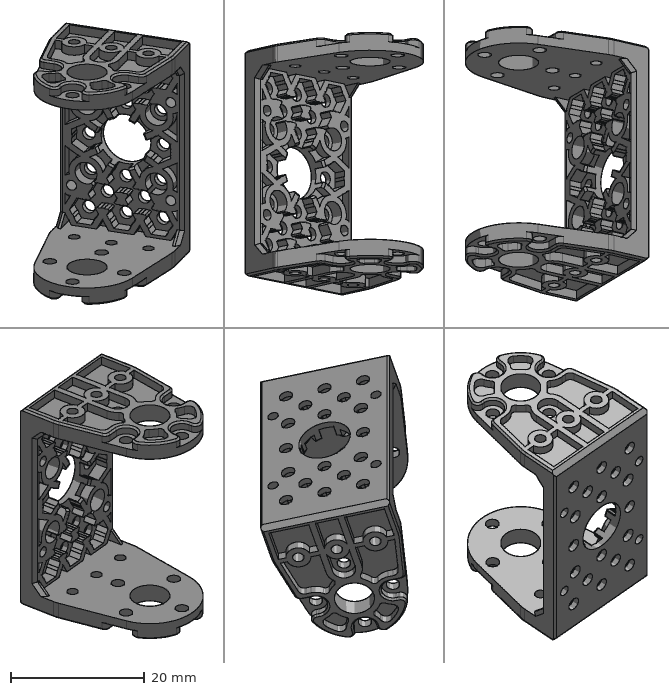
import cadquery as cq
import math


width = 20.0
height = 34.6
hub_radius = 8.0
depth = 25.0
back_y = depth - hub_radius
wall_thickness = 3.0
wall_front_y = back_y - wall_thickness
arm_thickness = 2.8
arm_inner_z = height / 2 - arm_thickness
rib = 1.0

arm_pocket_depth = 1.4
arm_floor_z = height / 2 - arm_pocket_depth
taper_start_y = 10.15
taper_blend_radius = 5.0
hub_bore = 6.0
hub_wall_radius = hub_bore / 2 + rib
bolt_circle_radius = 6.0
bolt_hole = 2.0
bite_half_width = 1.75
bite_corner_radius = 1.0
slot_half_width = 1.75
pocket_corner_radius = 0.62
pocket_rim_corner_radius = 1.0
screw_row_y = 10.0
screw_hole = 1.7
screw_boss_radius = 1.87
cross_rib = 0.8
back_margin = 1.25

outer_bolt_points = [(-bolt_circle_radius, 0), (bolt_circle_radius, 0), (0, -bolt_circle_radius)]
bolt_points = outer_bolt_points + [(0, bolt_circle_radius)]
screw_points = [(x, screw_row_y) for x in (-bolt_circle_radius, 0, bolt_circle_radius)]

rim_chamfer = 0.3
back_chamfer = 0.8
inner_edge_chamfer = 0.6
gusset_leg = 1.9

step = bolt_circle_radius / 2
wall_pocket_depth = 2.0
recess_depth = 1.5
hex_flats = 4.0
window_half_width = width / 2 - rib
channel_width = 1.6
bolt_channel_width = 0.6
counterbore = 3.5
counterbore_hole = 2.08
counterbore_offset = hub_radius * math.sqrt(0.5)
edge_hole = 1.6
edge_hole_offset = hub_radius
edge_pad_radius = edge_hole / 2 + rib
wall_bore = 8.0
wall_bore_chamfer = 0.35
nub_width = 0.52
nub_height = 0.07

top_hexes = [
    (-2, 4, (30, 150, 270)),
    (0, 4, (30, 150, 270)),
    (2, 4, (30, 150, 270)),
    (-1, 3, (90, 270)),
    (1, 3, (90, 270)),
    (0, 2, (90, 210, 330)),
]
side_hexes = [
    (-2, 0, (60, 180, 300)),
    (2, 0, (0, 120, 240)),
]
bottom_hexes = [(col, -row, tuple(-a for a in nubs)) for col, row, nubs in top_hexes]
all_hexes = top_hexes + side_hexes + bottom_hexes

select_margin = 0.17


def corners(offset):
    """The four points (+-offset, +-offset)."""
    return [(sx * offset, sz * offset) for sx in (-1, 1) for sz in (-1, 1)]


def arm_outline(inset, z, thickness):
    """Arm plan shape: square back, tapered sides, round end; offset inwards by inset."""
    half = width / 2
    radius = hub_radius - inset
    reach = math.hypot(half, taper_start_y)
    tangent = math.atan2(taper_start_y, half) - math.acos(hub_radius / reach)
    shoulder_y = (radius - (half - inset) * math.cos(tangent)) / math.sin(tangent)
    tx = radius * math.cos(tangent)
    ty = radius * math.sin(tangent)
    return (
        cq.Workplane("XY", origin=(0, 0, z))
        .moveTo(half - inset, back_y)
        .lineTo(half - inset, shoulder_y)
        .lineTo(tx, ty)
        .threePointArc((0, -radius), (-tx, ty))
        .lineTo(inset - half, shoulder_y)
        .lineTo(inset - half, back_y)
        .close()
        .extrude(thickness)
    )


def above_floor(x, y, size_x, size_y):
    """Box standing on the pocket floor of the arm."""
    return cq.Workplane("XY", origin=(x, y, arm_floor_z)).rect(size_x, size_y).extrude(arm_pocket_depth)


def disc_above_floor(points, radius):
    return (
        cq.Workplane("XY", origin=(0, 0, arm_floor_z))
        .pushPoints(points).circle(radius).extrude(arm_pocket_depth)
    )


def bites(half_width):
    """Round-ended recesses around the three outer bolt holes, open to the rim."""
    shape = disc_above_floor(outer_bolt_points, half_width)
    run = bolt_circle_radius
    for x, y in outer_bolt_points:
        if y == 0:
            outlet = above_floor(1.5 * x, y, run, 2 * half_width)
        else:
            outlet = above_floor(x, 1.5 * y, 2 * half_width, run)
        shape = shape.union(outlet)
    return shape


def slot(half_width):
    """Channel along the arm's centre line, ending round at the inner bolt hole."""
    length = back_y - back_margin - bolt_circle_radius
    middle = bolt_circle_radius + length / 2
    straight = above_floor(0, middle, 2 * half_width, length)
    return straight.union(disc_above_floor([(0, bolt_circle_radius)], half_width))


def axis_distance(edge):
    """Distance of an upright edge from the hub axis."""
    return math.hypot(edge.Center().x, edge.Center().y)


def arm_pockets():
    """Floors between the ribs, hub wall and screw bosses of one arm."""
    bosses = disc_above_floor(screw_points, screw_boss_radius)
    plan = arm_outline(rib, arm_floor_z, arm_pocket_depth)
    plan = plan.cut(above_floor(0, back_y, width, 2 * back_margin))
    plan = plan.cut(disc_above_floor([(0, 0)], hub_wall_radius))
    plan = plan.cut(bites(bite_half_width + rib)).cut(slot(slot_half_width + rib))
    plan = plan.cut(above_floor(0, screw_row_y, width, cross_rib))
    front = cq.selectors.BoxSelector(
        (-width, -hub_radius, 0), (width, bolt_circle_radius, height))
    rim_zone_radius = (hub_wall_radius + hub_radius) / 2
    front_corners = plan.edges("|Z").edges(front).vals()
    for radius, near_rim in ((pocket_rim_corner_radius, True), (pocket_corner_radius, False)):
        group = [e for e in front_corners if (axis_distance(e) > rim_zone_radius) == near_rim]
        plan = plan.newObject(group).fillet(radius)
    return plan.union(slot(slot_half_width)).cut(bosses)


def outer_block():
    """Solid upper half: blended sides, rim recesses with rounded tips, chamfered edges."""
    body = arm_outline(0, 0, height / 2)
    shoulders = cq.selectors.BoxSelector(
        (-width, taper_start_y - select_margin, 0), (width, taper_start_y + select_margin, height))
    body = body.edges("|Z").edges(shoulders).fillet(taper_blend_radius)
    body = body.edges("|Z and >Y").chamfer(rim_chamfer)

    body = body.cut(bites(bite_half_width))
    bite_tips = [
        e for e in body.edges("|Z").vals()
        if e.Center().z > arm_floor_z
        and e.Center().y < bite_half_width + select_margin
        and axis_distance(e) > hub_radius - select_margin
    ]
    body = body.newObject(bite_tips).fillet(bite_corner_radius)
    body = body.edges(">Z and >Y").chamfer(back_chamfer)
    return body.faces(">Z").edges("not(>Y)").chamfer(rim_chamfer)


def hollow_out(body):
    """Open the space between the arms, leaving a thin gusset at each side of the corner."""
    bevelled_space = (
        cq.Workplane("YZ", origin=(-width, 0, 0))
        .moveTo(-depth, 0)
        .lineTo(wall_front_y, 0)
        .lineTo(wall_front_y, arm_inner_z - gusset_leg)
        .lineTo(wall_front_y - gusset_leg, arm_inner_z)
        .lineTo(-depth, arm_inner_z)
        .close()
        .extrude(2 * width)
    )
    body = body.cut(bevelled_space)
    for side_x in (-width / 2, width / 2):
        inner_edges = cq.selectors.BoxSelector(
            (side_x - select_margin, wall_front_y - gusset_leg, 0),
            (side_x + select_margin, wall_front_y + select_margin, arm_inner_z - select_margin))
        body = body.edges(inner_edges).chamfer(inner_edge_chamfer)
    between_gussets = cq.Workplane("XY").box(2 * window_half_width, 2 * wall_front_y, 2 * arm_inner_z)
    return body.cut(between_gussets)


def arm_holes():
    drill = cq.Workplane("XY", origin=(0, 0, arm_inner_z))
    holes = drill.circle(hub_bore / 2).extrude(arm_thickness)
    holes = holes.union(drill.pushPoints(bolt_points).circle(bolt_hole / 2).extrude(arm_thickness))
    return holes.union(drill.pushPoints(screw_points).circle(screw_hole / 2).extrude(arm_thickness))


def hexagon(col, row, flats):
    """Hexagon prism of pocket depth; the middle row stands on its points."""
    turn = 30 if row == 0 else 0
    prism = cq.Workplane("XZ").polygon(6, flats / math.cos(math.pi / 6)).extrude(-wall_pocket_depth)
    prism = prism.rotate((0, 0, 0), (0, 1, 0), turn)
    return prism.translate((col * step, wall_front_y, row * step))


def hex_pocket(col, row, nub_angles):
    pocket = hexagon(col, row, hex_flats)
    for angle in nub_angles:
        nub = cq.Workplane("XY").box(2 * nub_height, 2 * wall_pocket_depth, nub_width)
        nub = nub.translate((hex_flats / 2, wall_front_y, 0))
        nub = nub.rotate((0, 0, 0), (0, 1, 0), -angle).translate((col * step, 0, row * step))
        pocket = pocket.cut(nub)
    return pocket


def straight_prism(start, end, across):
    """Straight bar of pocket depth between two (x, z) points of the wall face."""
    dx = end[0] - start[0]
    dz = end[1] - start[1]
    bar = cq.Workplane("XY").box(math.hypot(dx, dz), wall_pocket_depth, across)
    bar = bar.rotate((0, 0, 0), (0, 1, 0), -math.degrees(math.atan2(dz, dx)))
    return bar.translate(((start[0] + end[0]) / 2, wall_front_y + wall_pocket_depth / 2,
                          (start[1] + end[1]) / 2))


def wall_discs(points, radius, length):
    """Cylinders running from the patterned face into the wall, at (x, z) points."""
    face = cq.Workplane("XZ", origin=(0, wall_front_y, 0))
    return face.pushPoints(points).circle(radius).extrude(-length)


def hex_pockets():
    """All hexagon pockets and counterbores, with the passages that join them."""
    shape = wall_discs(corners(counterbore_offset), counterbore / 2, wall_pocket_depth)
    for hex_data in all_hexes:
        shape = shape.union(hex_pocket(*hex_data))
    hex_side = hex_flats * math.tan(math.pi / 6)
    for col, row in ((-2, 0), (2, 0), (0, -2), (0, 2)):
        shape = shape.union(straight_prism((0, 0), (col * step, row * step), hex_side))
    for sx in (-1, 1):
        for sz in (-1, 1):
            inner_hex = (sx * step, sz * 3 * step)
            for col, row in ((0, 4), (2, 4), (0, 2)):
                neighbour = (sx * col * step, sz * row * step)
                shape = shape.union(straight_prism(inner_hex, neighbour, channel_width))
            bolt_seat = (sx * counterbore_offset, sz * counterbore_offset)
            shape = shape.union(straight_prism(inner_hex, bolt_seat, bolt_channel_width))
    return shape


def outer_recesses():
    """What is left of the wall face outside a rib-wide border around every pocket and hole."""
    recess = cq.Workplane("XY").box(2 * window_half_width, recess_depth, 2 * arm_inner_z)
    recess = recess.translate((0, wall_front_y + recess_depth / 2, 0))
    for col, row, _ in all_hexes:
        recess = recess.cut(hexagon(col, row, hex_flats + 2 * rib))
    recess = recess.cut(wall_discs(corners(counterbore_offset), counterbore / 2 + rib, wall_pocket_depth))
    recess = recess.cut(wall_discs(corners(edge_hole_offset), edge_pad_radius, wall_pocket_depth))
    for x, z in corners(edge_hole_offset):
        nearest_hex = (math.copysign(step, x), math.copysign(3 * step, z))
        recess = recess.cut(straight_prism((x, z), nearest_hex, 2 * rib))
    return recess


def wall_holes():
    hex_centers = [(col * step, row * step) for col, row, _ in all_hexes]
    holes = wall_discs(hex_centers, bolt_hole / 2, wall_thickness)
    holes = holes.union(wall_discs(corners(counterbore_offset), counterbore_hole / 2, wall_thickness))
    holes = holes.union(wall_discs(corners(edge_hole_offset), edge_hole / 2, wall_thickness))
    holes = holes.union(wall_discs([(0, 0)], wall_bore / 2, wall_thickness))
    countersink = cq.Workplane(cq.Solid.makeCone(
        wall_bore / 2 + wall_bore_chamfer, wall_bore / 2, wall_bore_chamfer,
        cq.Vector(0, wall_front_y, 0), cq.Vector(0, 1, 0)))
    return holes.union(countersink)


half = hollow_out(outer_block()).cut(arm_pockets()).cut(arm_holes())
frame = half.union(half.mirror("XY"))
result = frame.cut(outer_recesses()).cut(hex_pockets()).cut(wall_holes())